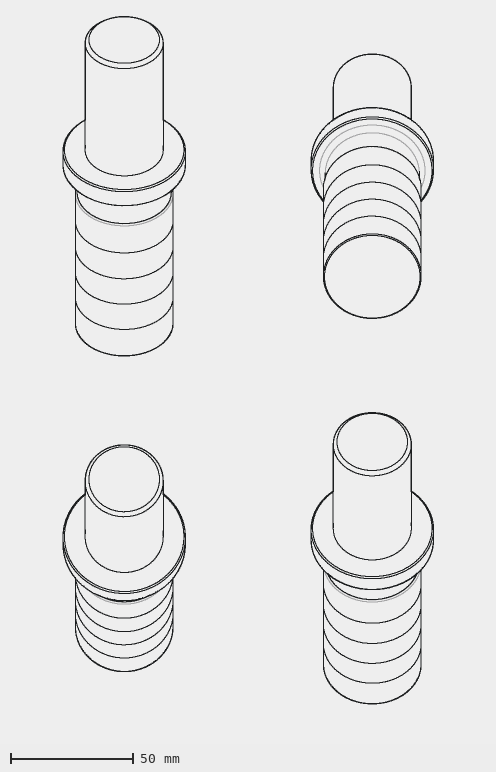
import cadquery as cq

total_height = 155.0
shank_diameter = 32.0
shank_chamfer = 1.5
flange_diameter = 50.0
flange_top = 95.0
flange_bottom = 86.2
flange_chamfer = 0.6
neck_diameter = 38.5
neck_fillet = 2.3

disc_diameter = 40.0
disc_levels = [71.9, 56.5, 42.5, 28.7, 14.9, 0.0]
top_disc_fillet = 0.6
bottom_disc_chamfer = 0.5


def cylinder(diameter, bottom, top):
    """Upright cylinder on the Z axis between two heights."""
    return cq.Workplane("XY").workplane(offset=bottom).circle(diameter / 2).extrude(top - bottom)


def make_handle():
    """Shank with a flange and a neck that blends into the flange underside."""
    shank = cylinder(shank_diameter, flange_top, total_height)
    shank = shank.faces(">Z").chamfer(shank_chamfer)
    flange = cylinder(flange_diameter, flange_bottom, flange_top)
    flange = flange.edges("%CIRCLE").chamfer(flange_chamfer)
    neck = cylinder(neck_diameter, disc_levels[0], flange_bottom)
    handle = flange.union(neck)
    smallest_radius = cq.selectors.RadiusNthSelector(0)
    handle = handle.edges("%CIRCLE").edges(smallest_radius).edges(">Z").fillet(neck_fillet)
    return handle.union(shank)


def make_discs():
    """Discs stacked from the neck down, with the two outer rims eased."""
    discs = [cylinder(disc_diameter, bottom, top) for top, bottom in zip(disc_levels, disc_levels[1:])]
    discs[0] = discs[0].edges(">Z").fillet(top_disc_fillet)
    discs[-1] = discs[-1].edges("<Z").chamfer(bottom_disc_chamfer)
    return discs


handle = make_handle()
discs = make_discs()

result = cq.Compound.makeCompound([handle.val(), *[disc.val() for disc in discs]])